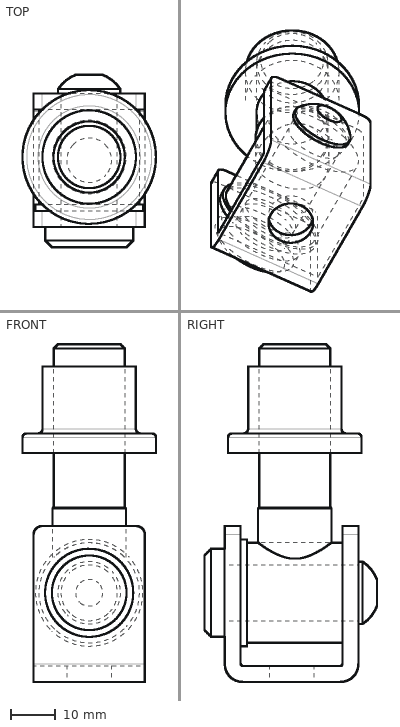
import cadquery as cq
import math

TOTAL_HEIGHT = 75.75
PIN_AXIS_Z = 20.0

BARREL_DIAMETER = 22.5
BARREL_LENGTH = 21.35

WASHER_DIAMETER = 24.0
WASHER_THICKNESS = 1.45

BRACKET_WIDTH = 25.0
BRACKET_HEIGHT = 35.0
BRACKET_DEPTH = 30.0
BRACKET_BEND_RADIUS = 4.0
BRACKET_INNER_RADIUS = 0.5
ARM_CORNER_RADIUS = 2.0
FLOOR_HOLE_DIAMETER = 10.0

SHANK_DIAMETER = 12.6
HEAD_DIAMETER = 19.8
HEAD_HEIGHT = 4.55
HEAD_CHAMFER = 1.5
DOME_DIAMETER = 14.0
DOME_RIM_HEIGHT = 0.9
DOME_HEIGHT = 4.2
DOME_SPHERE_RADIUS = 8.3

STUD_DIAMETER = 16.0
STUD_CHAMFER = 1.0
NECK_DIAMETER = 16.5
NECK_TOP_Z = 39.2

BUSHING_DIAMETER = 21.0
BUSHING_TOP_Z = 70.75
FLANGE_DIAMETER = 30.0
FLANGE_BOTTOM_Z = 51.3
FLANGE_THICKNESS = 4.5
FLANGE_ROUNDING = 1.0

BARREL_FRONT_Y = -BARREL_LENGTH / 2
BARREL_BACK_Y = BARREL_LENGTH / 2
ARM_GAP = BARREL_LENGTH + WASHER_THICKNESS
WALL_THICKNESS = (BRACKET_DEPTH - ARM_GAP) / 2
WASHER_FRONT_Y = BARREL_FRONT_Y - WASHER_THICKNESS
BRACKET_FRONT_Y = WASHER_FRONT_Y - WALL_THICKNESS
BRACKET_BACK_Y = BARREL_BACK_Y + WALL_THICKNESS
BRACKET_CENTER_Y = (BRACKET_FRONT_Y + BRACKET_BACK_Y) / 2


def cylinder_along_y(diameter, start_y, end_y):
    """Solid cylinder on the pin axis between two Y positions."""
    plane = cq.Plane(origin=(0, start_y, PIN_AXIS_Z), xDir=(1, 0, 0), normal=(0, 1, 0))
    return cq.Workplane(plane).circle(diameter / 2).extrude(end_y - start_y)


def cylinder_along_z(diameter, start_z, end_z):
    """Solid cylinder on the stud axis between two heights."""
    return cq.Workplane(origin=(0, 0, start_z)).circle(diameter / 2).extrude(end_z - start_z)


def make_bracket():
    """U-shaped strap with rounded arm corners, pin holes and a hole in the floor."""
    outer = (
        cq.Workplane(origin=(0, BRACKET_CENTER_Y, 0))
        .box(BRACKET_WIDTH, BRACKET_DEPTH, BRACKET_HEIGHT, centered=(True, True, False))
        .edges("|X and <Z")
        .fillet(BRACKET_BEND_RADIUS)
        .edges("|Y and >Z")
        .fillet(ARM_CORNER_RADIUS)
    )
    opening = (
        cq.Workplane(origin=(0, BRACKET_CENTER_Y, WALL_THICKNESS))
        .box(BRACKET_WIDTH, ARM_GAP, BRACKET_HEIGHT, centered=(True, True, False))
        .edges("|X and <Z")
        .fillet(BRACKET_INNER_RADIUS)
    )
    floor_hole = (
        cq.Workplane(origin=(0, BRACKET_CENTER_Y, 0))
        .circle(FLOOR_HOLE_DIAMETER / 2)
        .extrude(WALL_THICKNESS)
    )
    pin_holes = cylinder_along_y(SHANK_DIAMETER, BRACKET_FRONT_Y, BRACKET_BACK_Y)
    return outer.cut(opening).cut(floor_hole).cut(pin_holes)


def make_barrel():
    """Plain horizontal tube, bored for the pin."""
    tube = cylinder_along_y(BARREL_DIAMETER, BARREL_FRONT_Y, BARREL_BACK_Y)
    return tube.cut(cylinder_along_y(SHANK_DIAMETER, BARREL_FRONT_Y, BARREL_BACK_Y))


def make_washer():
    """Flat ring on the pin, between the barrel and the front arm."""
    disc = cylinder_along_y(WASHER_DIAMETER, WASHER_FRONT_Y, BARREL_FRONT_Y)
    return disc.cut(cylinder_along_y(SHANK_DIAMETER, WASHER_FRONT_Y, BARREL_FRONT_Y))


def make_pin():
    """Pin with a chamfered head at the front and a flat-tipped domed end at the back."""
    head_front_y = BRACKET_FRONT_Y - HEAD_HEIGHT
    head = cylinder_along_y(HEAD_DIAMETER, head_front_y, BRACKET_FRONT_Y)
    head = head.faces("<Y").edges().chamfer(HEAD_CHAMFER)
    shank = cylinder_along_y(SHANK_DIAMETER, BRACKET_FRONT_Y, BRACKET_BACK_Y)

    rim_y = BRACKET_BACK_Y + DOME_RIM_HEIGHT
    tip_y = BRACKET_BACK_Y + DOME_HEIGHT
    center_y = rim_y - math.sqrt(DOME_SPHERE_RADIUS**2 - (DOME_DIAMETER / 2) ** 2)
    sphere = cq.Workplane(origin=(0, center_y, PIN_AXIS_Z)).sphere(DOME_SPHERE_RADIUS)
    dome = cylinder_along_y(DOME_DIAMETER, BRACKET_BACK_Y, tip_y).intersect(sphere)
    return head.union(shank).union(dome)


def make_stud():
    """Round stud, chamfered at the top, with its neck hollowed to sit on the barrel."""
    neck_step = (NECK_DIAMETER - STUD_DIAMETER) / 2
    neck = cylinder_along_z(NECK_DIAMETER, PIN_AXIS_Z, NECK_TOP_Z)
    neck = neck.faces(">Z").edges().chamfer(neck_step)
    rod = cylinder_along_z(STUD_DIAMETER, PIN_AXIS_Z, TOTAL_HEIGHT)
    rod = rod.faces(">Z").edges().chamfer(STUD_CHAMFER)
    saddle = cylinder_along_y(BARREL_DIAMETER, BARREL_FRONT_Y, BARREL_BACK_Y)
    return rod.union(neck).cut(saddle)


def make_bushing():
    """Flanged bushing around the stud, rounded at the flange rim and at its root."""
    flange_top_z = FLANGE_BOTTOM_Z + FLANGE_THICKNESS
    flange = cylinder_along_z(FLANGE_DIAMETER, FLANGE_BOTTOM_Z, flange_top_z)
    flange = flange.faces(">Z").edges().fillet(FLANGE_ROUNDING)
    sleeve = cylinder_along_z(BUSHING_DIAMETER, FLANGE_BOTTOM_Z, BUSHING_TOP_Z)
    sleeve_root = cq.selectors.NearestToPointSelector((0, 0, flange_top_z))
    bushing = flange.union(sleeve).edges("%CIRCLE").edges(sleeve_root).fillet(FLANGE_ROUNDING)
    return bushing.cut(cylinder_along_z(STUD_DIAMETER, FLANGE_BOTTOM_Z, BUSHING_TOP_Z))


bracket = make_bracket()
barrel = make_barrel()
washer = make_washer()
pin = make_pin()
stud = make_stud()
bushing = make_bushing()

result = cq.Compound.makeCompound(
    [bracket.val(), barrel.val(), washer.val(), pin.val(), stud.val(), bushing.val()]
)